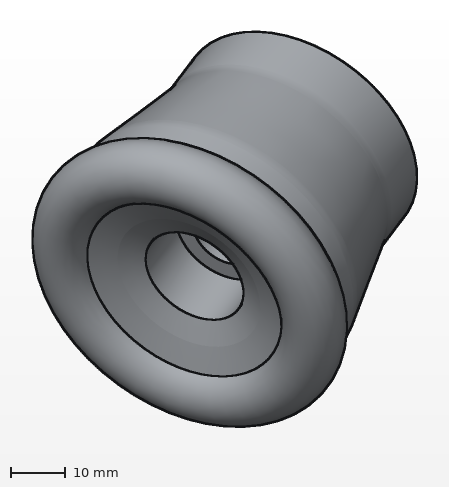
import cadquery as cq
import math

outer_radius = 31.5
length = 50.0

lip_round = 6.0
lip_centre_radius = outer_radius - lip_round

collar_radius = 28.95
collar_end = 15.0
sleeve_radius = 24.0
sleeve_start = 40.0
blend_length = 2.0

mouth_depth = 3.9
funnel_radius = 14.6
funnel_depth = 5.8
bore_radius = 10.0
bore_start = 7.95
bore_end = 20.0
hole_radius = 6.5


def lip_half_width(depth):
    """Radial distance from the lip centre to its surface at a given depth."""
    return math.sqrt(lip_round**2 - (depth - lip_round) ** 2)


mouth_radius = lip_centre_radius - lip_half_width(mouth_depth)
lip_end = lip_round + math.sqrt(lip_round**2 - (collar_radius - lip_centre_radius) ** 2)

flare_slope = (collar_radius - sleeve_radius) / (sleeve_start - collar_end - blend_length)
blend_drop = flare_slope * blend_length / 2

profile = (
    cq.Workplane("YZ")
    .moveTo(bore_end, hole_radius)
    .lineTo(bore_end, bore_radius)
    .lineTo(bore_start, bore_radius)
    .lineTo(funnel_depth, funnel_radius)
    .lineTo(mouth_depth, mouth_radius)
    .threePointArc((0, lip_centre_radius), (lip_end, collar_radius))
    .lineTo(collar_end, collar_radius)
    .tangentArcPoint((collar_end + blend_length, collar_radius - blend_drop), relative=False)
    .lineTo(sleeve_start - blend_length, sleeve_radius + blend_drop)
    .tangentArcPoint((sleeve_start, sleeve_radius), relative=False)
    .lineTo(length, sleeve_radius)
    .lineTo(length, hole_radius)
    .close()
)

result = profile.revolve(360, (0, 0, 0), (1, 0, 0))